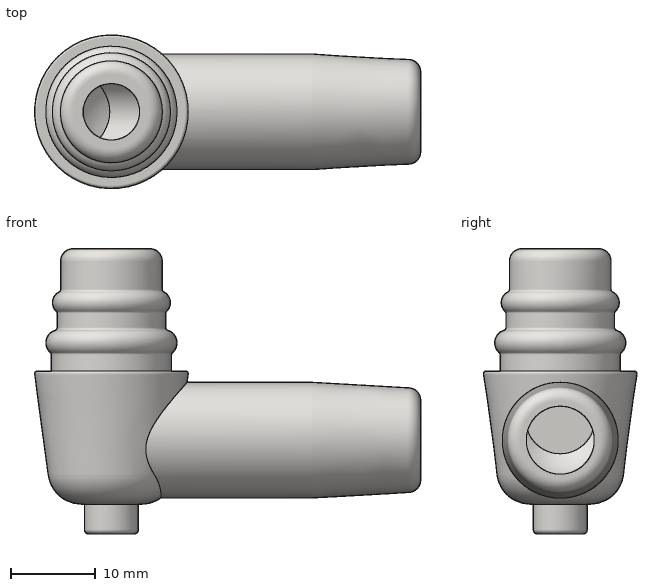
import cadquery as cq
import math

stub_radius = 3.2
stub_edge_radius = 0.5
cup_floor = 3.5
cup_bottom_radius = 7.5
cup_bottom_height = 7.05
cup_bottom_round = 4.0
rim_radius = 9.1
rim_height = 19.25
rim_band = 0.4
rim_edge_round = 0.3

lower_neck_radius = 7.12
middle_neck_radius = 6.45
upper_neck_radius = 6.05
lower_ring_radius = 7.75
upper_ring_radius = 7.0
lower_ring_height = 22.6
upper_ring_height = 27.35
lower_ring_tube = 1.55
upper_ring_tube = 1.4
ring_root_radius = 0.3
spigot_top = 33.75
spigot_edge_radius = 1.5

tube_height = 11.1
tube_radius = 6.85
tube_tip_radius = 6.1
taper_start = 23.8
overall_length = 45.65
tube_end = overall_length - rim_radius
tube_edge_radius = 1.5

spigot_bore_radius = 3.35
side_bore_radius = 4.0
dish_radius = 6.95
dish_centre_x = 2.3
dish_centre_rise = 2.45


def cylinder_up(radius, bottom, top):
    return cq.Workplane("XY", origin=(0, 0, bottom)).circle(radius).extrude(top - bottom)


def make_stub():
    stub = cylinder_up(stub_radius, 0, cup_floor + cup_bottom_round)
    return stub.faces("<Z").edges().fillet(stub_edge_radius)


def make_cup():
    slope = (rim_radius - cup_bottom_radius) / (rim_height - rim_band - cup_bottom_height)
    floor_radius = cup_bottom_radius - slope * (cup_bottom_height - cup_floor)
    cup = (
        cq.Workplane("XZ")
        .moveTo(0, cup_floor)
        .lineTo(floor_radius, cup_floor)
        .lineTo(rim_radius, rim_height - rim_band)
        .lineTo(rim_radius, rim_height)
        .lineTo(0, rim_height)
        .close()
        .revolve(360, (0, 0, 0), (0, 1, 0))
    )
    cup = cup.faces("<Z").edges().fillet(cup_bottom_round)
    return cup.faces(">Z").edges().fillet(rim_edge_round)


def draw_ring(profile, radius, height, tube, root_below, root_above):
    """Add a round bead, with a small concave round where it meets each neck."""
    centre = radius - tube
    reach = tube + ring_root_radius

    def root(neck, side):
        offset = neck + ring_root_radius - centre
        rise = math.sqrt(reach**2 - offset**2)
        on_neck = (neck, height + side * rise)
        on_bead = (centre + offset * tube / reach, height + side * rise * tube / reach)
        turn_neck = math.pi
        turn_bead = math.atan2(-side * rise, -offset) % (2 * math.pi)
        turn = (turn_neck + turn_bead) / 2
        middle = (
            neck + ring_root_radius + ring_root_radius * math.cos(turn),
            height + side * rise + ring_root_radius * math.sin(turn),
        )
        return on_neck, middle, on_bead

    low_neck, low_middle, low_bead = root(root_below, -1)
    high_neck, high_middle, high_bead = root(root_above, 1)
    return (
        profile.lineTo(*low_neck)
        .threePointArc(low_middle, low_bead)
        .threePointArc((radius, height), high_bead)
        .threePointArc(high_middle, high_neck)
    )


def make_spigot():
    profile = cq.Workplane("XZ").moveTo(0, tube_height).lineTo(lower_neck_radius, tube_height)
    profile = draw_ring(
        profile, lower_ring_radius, lower_ring_height, lower_ring_tube, lower_neck_radius, middle_neck_radius
    )
    profile = draw_ring(
        profile, upper_ring_radius, upper_ring_height, upper_ring_tube, middle_neck_radius, upper_neck_radius
    )
    profile = profile.lineTo(upper_neck_radius, spigot_top).lineTo(0, spigot_top).close()
    spigot = profile.revolve(360, (0, 0, 0), (0, 1, 0))
    return spigot.faces(">Z").edges().fillet(spigot_edge_radius)


def make_side_tube():
    tube = (
        cq.Workplane("XZ")
        .moveTo(0, tube_height)
        .lineTo(0, tube_height + tube_radius)
        .lineTo(taper_start, tube_height + tube_radius)
        .lineTo(tube_end, tube_height + tube_tip_radius)
        .lineTo(tube_end, tube_height)
        .close()
        .revolve(360, (0, tube_height, 0), (1, tube_height, 0))
    )
    return tube.faces(">X").edges().fillet(tube_edge_radius)


def bore_along_x(start, end):
    return cq.Workplane("YZ", origin=(start, 0, tube_height)).circle(side_bore_radius).extrude(end - start)


def make_passage():
    upright = cylinder_up(spigot_bore_radius, tube_height, spigot_top)
    dish = cq.Workplane("XY").sphere(dish_radius).translate((dish_centre_x, 0, tube_height + dish_centre_rise))
    blind_end = bore_along_x(-spigot_bore_radius, dish_centre_x).intersect(dish)
    return blind_end.union(bore_along_x(0, tube_end)).union(upright)


solid = make_cup().union(make_stub()).union(make_spigot()).union(make_side_tube())
result = solid.cut(make_passage())